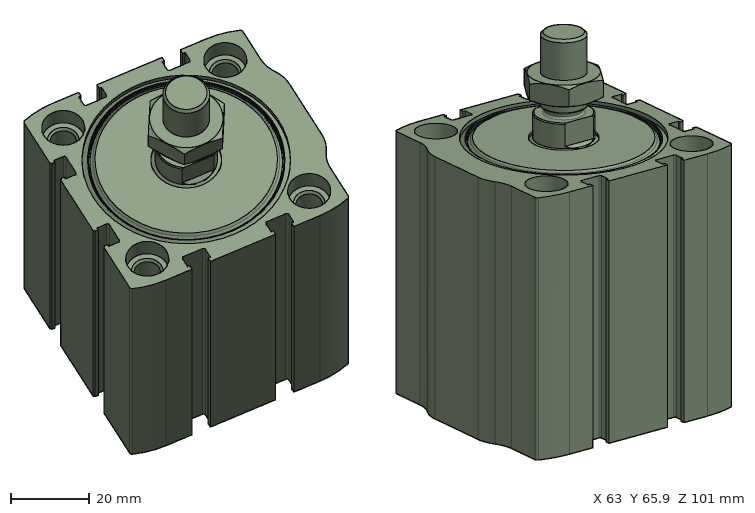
import cadquery as cq
import math


total_height = 101.0
housing_height = 72.0
shoulder_height = 79.0
thread_start = 81.0
nut_bottom = 84.0
nut_thickness = 6.0

half_width = 31.5
back_reach = 34.4
side_flat_half_length = 22.2
corner_half_width = 29.8
corner_fillet = 0.8
back_pad_half_width = 9.1
back_pad_foot_half_width = 19.4

slot_offset = 12.0
slot_mouth_width = 5.3
slot_lip = 1.3
slot_inner_width = 6.6
slot_depth = 4.5
slot_inner_fillet = 0.5
front_mouth_chamfer = 0.4

bolt_offset = 23.3
bolt_hole_diameter = 6.8
bolt_countersink_diameter = 8.1
bolt_countersink_depth = 0.6
bolt_counterbore_diameter = 11.0
bolt_counterbore_depth = 5.4

recess_diameter = 53.3
recess_depth = 1.2
bore_diameter = 50.0
lip_radius = 25.2
lip_drop = 0.3
lip_depth = 0.8
gap_depth = 1.5
cover_radius = 24.6
cover_edge_depth = 1.0
cover_bevel_radius = 23.9
cover_bevel_depth = 0.5
cover_face_radius = 23.3

rod_diameter = 16.0
rod_seat_depth = 20.2
rod_seat_z = housing_height - rod_seat_depth
wiper_diameter = 18.1
wiper_depth = 0.7
shoulder_chamfer = 0.3
flat_spacing = 13.0
flat_bottom = housing_height + 0.6
flat_run_out_angle = 35.0

thread_diameter = 12.0
thread_tip_diameter = 10.6
thread_tip_chamfer = 0.7
thread_start_chamfer = 0.2
neck_diameter = 9.8
neck_root_diameter = 11.0
neck_fillet = (neck_root_diameter - neck_diameter) / 2
neck_top = thread_start - thread_start_chamfer

nut_across_flats = 19.0
nut_sides = 6
nut_half_side_angle = 180 / nut_sides
nut_corner_diameter = nut_across_flats / math.cos(math.radians(nut_half_side_angle))
nut_chamfer_diameter = 18.8
nut_chamfer_angle = 25.0


def spin(profile):
    """Turn a closed XZ profile a full turn around the Z axis."""
    return profile.revolve(360, (0, 0, 0), (0, 1, 0))


def housing_block():
    """Extruded outline: bowed sides, and a raised pad that blends into the back (+Y) edge."""
    bow_in = half_width - corner_half_width
    bow_run = half_width - side_flat_half_length
    bow_radius = (bow_in**2 + bow_run**2) / (2 * bow_in)
    flank_middle = (
        (back_pad_half_width + back_pad_foot_half_width) / 2,
        (half_width + back_reach) / 2,
    )
    right_half = (
        cq.Workplane("XY")
        .moveTo(0, -half_width)
        .lineTo(corner_half_width, -half_width)
        .radiusArc((half_width, -side_flat_half_length), -bow_radius)
        .lineTo(half_width, side_flat_half_length)
        .radiusArc((corner_half_width, half_width), -bow_radius)
        .lineTo(back_pad_foot_half_width, half_width)
        .tangentArcPoint(flank_middle, relative=False)
        .tangentArcPoint((back_pad_half_width, back_reach), relative=False)
        .lineTo(0, back_reach)
        .close()
        .extrude(housing_height)
    )
    block = right_half.union(right_half.mirror("YZ")).clean()
    for x in (-corner_half_width, corner_half_width):
        for y in (-half_width, half_width):
            corner = cq.selectors.NearestToPointSelector((x, y, housing_height / 2))
            block = block.edges(corner).fillet(corner_fillet)
    return block


def slot_cutter():
    """T-slot centred on X = 0 that opens through the front (-Y) face."""
    inner_length = slot_depth - slot_lip
    inner = (
        cq.Workplane("XY")
        .center(0, -half_width + slot_lip + inner_length / 2)
        .rect(slot_inner_width, inner_length)
        .extrude(housing_height)
        .edges("|Z and >Y")
        .fillet(slot_inner_fillet)
    )
    mouth = (
        cq.Workplane("XY")
        .center(0, -half_width + slot_lip / 2)
        .rect(slot_mouth_width, slot_lip)
        .extrude(housing_height)
    )
    return inner.union(mouth)


def front_mouth_flare():
    """Wedge that chamfers both mouth edges of a front slot centred on X = 0."""
    inside = slot_mouth_width / 2
    outside = inside + front_mouth_chamfer
    return (
        cq.Workplane("XY")
        .moveTo(-outside, -half_width)
        .lineTo(outside, -half_width)
        .lineTo(inside, -half_width + front_mouth_chamfer)
        .lineTo(-inside, -half_width + front_mouth_chamfer)
        .close()
        .extrude(housing_height)
    )


def bolt_hole_cutter():
    """Through hole with a counterbore at the top and a countersink in the counterbore floor."""
    floor = housing_height - bolt_counterbore_depth
    return spin(
        cq.Workplane("XZ")
        .moveTo(0, 0)
        .lineTo(bolt_hole_diameter / 2, 0)
        .lineTo(bolt_hole_diameter / 2, floor - bolt_countersink_depth)
        .lineTo(bolt_countersink_diameter / 2, floor)
        .lineTo(bolt_counterbore_diameter / 2, floor)
        .lineTo(bolt_counterbore_diameter / 2, housing_height)
        .lineTo(0, housing_height)
        .close()
    )


def cover_ring_cutter():
    """Ring recess: sloped outer lip, narrow gap at the bore, and the bevelled cover edge."""
    return spin(
        cq.Workplane("XZ")
        .moveTo(cover_face_radius, housing_height)
        .lineTo(cover_bevel_radius, housing_height - cover_bevel_depth)
        .lineTo(cover_radius, housing_height - cover_edge_depth)
        .lineTo(cover_radius, housing_height - gap_depth)
        .lineTo(bore_diameter / 2, housing_height - gap_depth)
        .lineTo(bore_diameter / 2, housing_height - lip_depth)
        .lineTo(lip_radius, housing_height - lip_depth)
        .lineTo(lip_radius, housing_height - lip_drop)
        .lineTo(recess_diameter / 2, housing_height - recess_depth)
        .lineTo(recess_diameter / 2, housing_height)
        .close()
    )


def rod_seat_cutter():
    """Blind rod hole, with a ring around its mouth that slopes down away from the rod."""
    return spin(
        cq.Workplane("XZ")
        .moveTo(0, rod_seat_z)
        .lineTo(rod_diameter / 2, rod_seat_z)
        .lineTo(rod_diameter / 2, housing_height)
        .lineTo(wiper_diameter / 2, housing_height - wiper_depth)
        .lineTo(wiper_diameter / 2, housing_height + wiper_depth)
        .lineTo(0, housing_height + wiper_depth)
        .close()
    )


def make_housing():
    housing = housing_block()
    for offset in (-slot_offset, slot_offset):
        slot = slot_cutter().translate((offset, 0, 0))
        for turn in (-90, 0, 90):
            housing = housing.cut(slot.rotate((0, 0, 0), (0, 0, 1), turn))
        housing = housing.cut(front_mouth_flare().translate((offset, 0, 0)))
    for x in (-bolt_offset, bolt_offset):
        for y in (-bolt_offset, bolt_offset):
            housing = housing.cut(bolt_hole_cutter().translate((x, y, 0)))
    return housing.cut(cover_ring_cutter()).cut(rod_seat_cutter())


def wrench_flat_cutter():
    """Removes the +X wrench flat, which ends at its foot in a slope out to the rod surface."""
    flat_x = flat_spacing / 2
    rod_radius = rod_diameter / 2
    run_out_drop = (rod_radius - flat_x) * math.tan(math.radians(flat_run_out_angle))
    return (
        cq.Workplane("XZ")
        .moveTo(flat_x, shoulder_height)
        .lineTo(flat_x, flat_bottom)
        .lineTo(rod_radius, flat_bottom - run_out_drop)
        .lineTo(rod_radius, shoulder_height)
        .close()
        .extrude(rod_radius, both=True)
    )


def make_rod():
    rod = spin(
        cq.Workplane("XZ")
        .moveTo(0, rod_seat_z)
        .lineTo(rod_diameter / 2, rod_seat_z)
        .lineTo(rod_diameter / 2, shoulder_height - shoulder_chamfer)
        .lineTo(rod_diameter / 2 - shoulder_chamfer, shoulder_height)
        .lineTo(neck_root_diameter / 2, shoulder_height)
        .radiusArc((neck_diameter / 2, shoulder_height + neck_fillet), neck_fillet)
        .lineTo(neck_diameter / 2, neck_top - neck_fillet)
        .radiusArc((neck_root_diameter / 2, neck_top), neck_fillet)
        .lineTo(thread_diameter / 2, thread_start)
        .lineTo(thread_diameter / 2, total_height - thread_tip_chamfer)
        .lineTo(thread_tip_diameter / 2, total_height)
        .lineTo(0, total_height)
        .close()
    )
    flat = wrench_flat_cutter()
    return rod.cut(flat).cut(flat.mirror("YZ"))


def make_nut():
    """Hexagon trimmed by a turned ring that chamfers its corners and leaves the thread hole."""
    nut_top = nut_bottom + nut_thickness
    hexagon = (
        cq.Workplane("XY")
        .workplane(offset=nut_bottom)
        .polygon(nut_sides, nut_corner_diameter)
        .extrude(nut_thickness)
        .rotate((0, 0, 0), (0, 0, 1), nut_half_side_angle)
    )
    chamfer_run = (nut_corner_diameter - nut_chamfer_diameter) / 2
    chamfer_drop = chamfer_run * math.tan(math.radians(nut_chamfer_angle))
    turned_ring = spin(
        cq.Workplane("XZ")
        .moveTo(thread_diameter / 2, nut_bottom)
        .lineTo(nut_chamfer_diameter / 2, nut_bottom)
        .lineTo(nut_corner_diameter / 2, nut_bottom + chamfer_drop)
        .lineTo(nut_corner_diameter / 2, nut_top - chamfer_drop)
        .lineTo(nut_chamfer_diameter / 2, nut_top)
        .lineTo(thread_diameter / 2, nut_top)
        .close()
    )
    return hexagon.intersect(turned_ring)


housing = make_housing()
rod = make_rod()
nut = make_nut()

result = cq.Compound.makeCompound([housing.solids().val(), rod.solids().val(), nut.solids().val()])